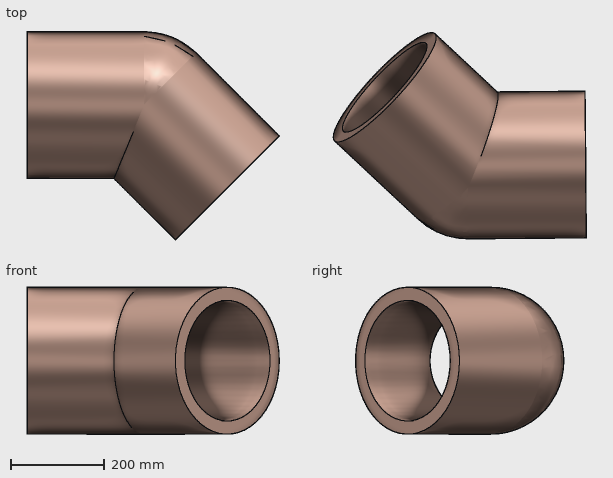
import cadquery as cq

outer_diameter = 315.0
bore_diameter = 258.0
leg_length = 251.0
bend_angle = 45


def elbow_solid(diameter):
    """Two round legs joined by a sphere of the same diameter at the bend centre."""
    radius = diameter / 2
    inlet_leg = cq.Workplane("YZ").circle(radius).extrude(-leg_length)
    outlet_leg = (
        cq.Workplane("YZ")
        .circle(radius)
        .extrude(leg_length)
        .rotate((0, 0, 0), (0, 0, 1), -bend_angle)
    )
    corner = cq.Workplane("XY").sphere(radius)
    return inlet_leg.union(outlet_leg).union(corner)


result = elbow_solid(outer_diameter).cut(elbow_solid(bore_diameter))